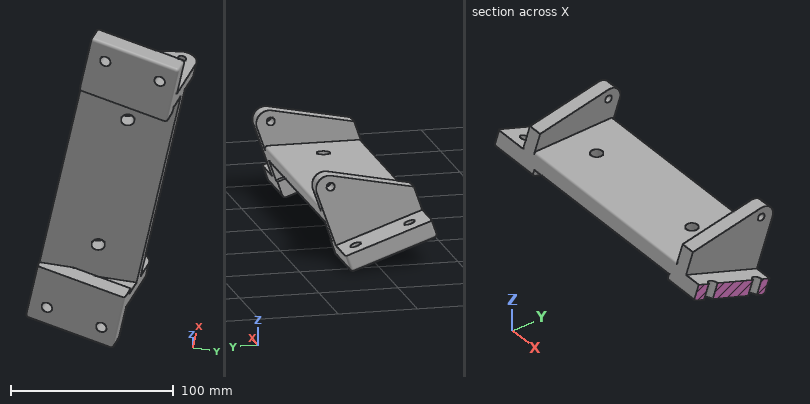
import cadquery as cq
import math

total_width = 216.5
tilt_angle = 19.35

foot_width = 40.0
foot_length = 58.0
foot_thickness = 11.4
foot_edge_radius = 2.0
foot_hole_diameter = 6.78
foot_hole_inset = 12.9
foot_hole_rear = 10.0
foot_hole_spacing = 36.0

lug_inset = 25.6
lug_thickness = 10.4
lug_front_height = 15.85
lug_slope_angle = 30.6
lug_rise = foot_length * math.tan(math.radians(lug_slope_angle))
lug_rear_height = lug_front_height + lug_rise
lug_embed = foot_thickness / 2
lug_nose_radius = 8.0
pivot_diameter = 5.04
pivot_from_rear = 9.4
pivot_height = 36.5

plate_thickness = 9.7
plate_edge_radius = 2.0
plate_hole_diameter = 8.25
plate_hole_spacing = 96.6

foot_rear_y = 24.1
foot_rear_z = -12.6

lug_outer_x = total_width / 2 - lug_inset
lug_inner_x = lug_outer_x - lug_thickness


def place_tilted(body):
    """Turn a body from foot coordinates (rear top edge on the X axis) into position."""
    tilted = body.rotate((0, 0, 0), (1, 0, 0), -tilt_angle)
    return tilted.translate((0, foot_rear_y, foot_rear_z))


def make_foot():
    """Left foot pad with rounded outer corners and lower edges, and two screw holes."""
    foot = cq.Workplane("XY").box(
        foot_width, foot_length, foot_thickness, centered=False
    ).translate((-total_width / 2, -foot_length, -foot_thickness))
    foot = foot.edges("(|Z and <X) or (<Z and (not >X))").fillet(foot_edge_radius)
    hole_x = foot_hole_inset - total_width / 2
    hole_points = [
        (hole_x, -foot_hole_rear),
        (hole_x, -foot_hole_rear - foot_hole_spacing),
    ]
    holes = (
        cq.Workplane("XY")
        .pushPoints(hole_points)
        .circle(foot_hole_diameter / 2)
        .extrude(-foot_thickness)
    )
    return foot.cut(holes)


def make_lug():
    """Left lug: sloping side plate with a rounded upper nose and a pivot hole."""
    lug = (
        cq.Workplane("YZ", origin=(-lug_outer_x, 0, 0))
        .polyline([
            (0, -lug_embed),
            (0, lug_rear_height),
            (-foot_length, lug_front_height),
            (-foot_length, -lug_embed),
        ])
        .close()
        .extrude(lug_thickness)
    )
    lug = lug.edges("|X and >Z").fillet(lug_nose_radius)
    pivot = (
        cq.Workplane("YZ", origin=(-lug_outer_x, 0, 0))
        .center(-pivot_from_rear, pivot_height)
        .circle(pivot_diameter / 2)
        .extrude(lug_thickness)
    )
    return lug.cut(pivot)


def make_plate():
    """Horizontal plate whose front and rear faces are flush with the lug faces."""
    lean = math.tan(math.radians(tilt_angle))
    rear_bottom_y = foot_rear_y - foot_rear_z * lean
    front_bottom_y = rear_bottom_y - foot_length / math.cos(math.radians(tilt_angle))
    top_shift = plate_thickness * lean
    plate_length = 2 * lug_inner_x
    plate = (
        cq.Workplane("YZ", origin=(-lug_inner_x, 0, 0))
        .polyline([
            (rear_bottom_y, 0),
            (rear_bottom_y + top_shift, plate_thickness),
            (front_bottom_y + top_shift, plate_thickness),
            (front_bottom_y, 0),
        ])
        .close()
        .extrude(plate_length)
    )
    plate = plate.edges("|X and >Z").fillet(plate_edge_radius)
    holes = (
        cq.Workplane("XY")
        .pushPoints([(-plate_hole_spacing / 2, 0), (plate_hole_spacing / 2, 0)])
        .circle(plate_hole_diameter / 2)
        .extrude(plate_thickness)
    )
    return plate.cut(holes)


left_bracket = place_tilted(make_foot().union(make_lug()))
right_bracket = left_bracket.mirror("YZ")
result = make_plate().union(left_bracket).union(right_bracket)